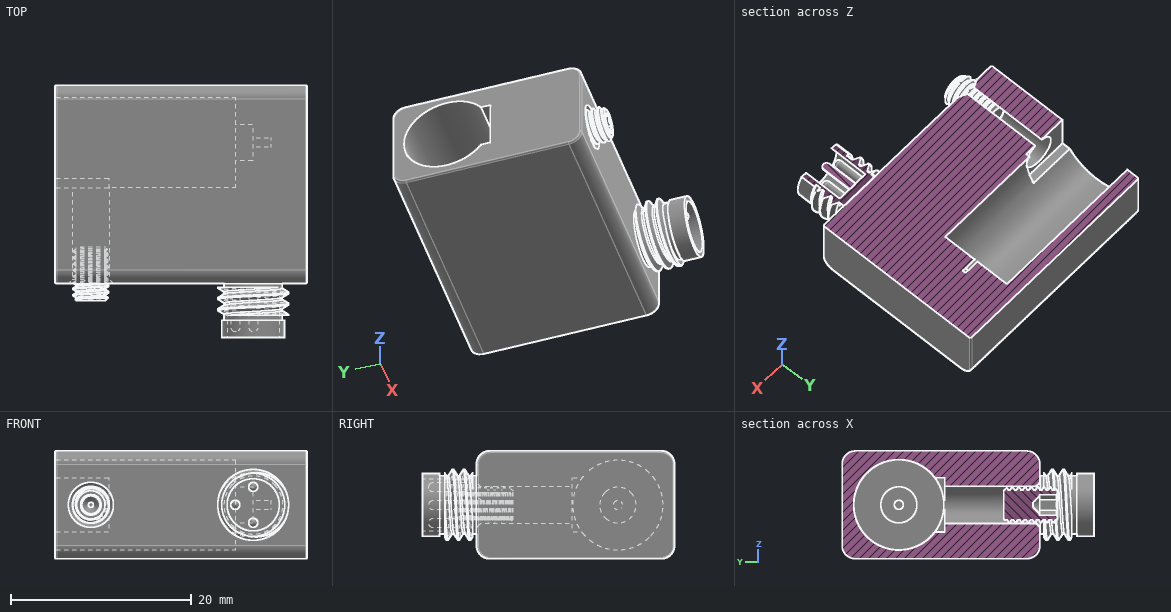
import cadquery as cq
import math


LENGTH = 28.0
DEPTH = 22.0
HEIGHT = 12.0
EDGE_RADIUS = 1.5
END_RADIUS = 0.2

BORE_DIAMETER = 10.0
BORE_DEPTH = 20.0
BORE_Y = DEPTH - 6.33
STEP_DIAMETER = 4.0
STEP_DEPTH = 2.0
PILOT_DIAMETER = 1.0
PILOT_DEPTH = 2.0
KEYWAY_HEIGHT = 6.0
KEYWAY_REACH = 5.07
KEYWAY_DEPTH = 6.0

SCREW_X = -LENGTH / 2 + 4.0
SCREW_DIAMETER = 4.0
SCREW_CORE_DIAMETER = 3.33
SCREW_END_DIAMETER = 3.15
SCREW_PITCH = 0.7
SCREW_PROJECTION = 1.93
SCREW_LENGTH = 6.0
SCREW_CREST_HEIGHT = 0.25
SCREW_HOLE_DIAMETER = 4.12
COUNTERSINK_DIAMETER = 5.0
SOCKET_ACROSS_FLATS = 2.0
SOCKET_DEPTH = 2.0
SOCKET_TIP_DIAMETER = 0.55

CONNECTOR_X = LENGTH / 2 - 6.0
CONNECTOR_PROJECTION = 6.0
CORE_DIAMETER = 6.5
NOSE_DIAMETER = 7.0
NOSE_LENGTH = 1.93
SHELL_BORE_DIAMETER = 5.8
SHELL_BORE_DEPTH = 5.0
THREAD_DIAMETER = 7.87
THREAD_START = 0.42
THREAD_LENGTH = 3.1
THREAD_TURNS = 2.5
THREAD_PITCH = THREAD_LENGTH / THREAD_TURNS

PIN_DIAMETER = 1.0
PIN_OFFSET = 2.0
PIN_RECESS = 0.67
PIN_ANGLES = (90, 180, 270)

RIDGE_BASE = 0.9
RIDGE_CREST = 0.12
RIDGE_OVERLAP = 0.08


def cylinder(diameter, start, end):
    """Round bar on the Z axis between two heights."""
    return cq.Workplane("XY").workplane(offset=start).circle(diameter / 2).extrude(end - start)


def cone(start_diameter, end_diameter, start, end):
    """Truncated cone on the Z axis between two heights."""
    base = cq.Vector(0, 0, start)
    return cq.Workplane(cq.Solid.makeCone(start_diameter / 2, end_diameter / 2, end - start, pnt=base))


def face_forward(body, x):
    """Turn a body built along +Z so that it points to -Y, at the given X."""
    return body.rotate((0, 0, 0), (1, 0, 0), 90).translate((x, 0, 0))


def thread_ridge(core_diameter, crest_diameter, pitch, start, end, crest_height):
    """Right-hand helical ridge reaching past start and end; one crest meets the +X side at crest_height."""
    root_radius = core_diameter / 2 - RIDGE_OVERLAP
    crest_radius = crest_diameter / 2
    base = RIDGE_BASE * pitch / 2
    crest = RIDGE_CREST * pitch / 2
    turns_below = math.ceil((crest_height - start) / pitch) + 1
    first = crest_height - turns_below * pitch
    path = cq.Wire.makeHelix(pitch, end - first + pitch, root_radius)
    return (
        cq.Workplane("XZ")
        .polyline([(root_radius, -base), (crest_radius, -crest), (crest_radius, crest), (root_radius, base)])
        .close()
        .sweep(cq.Workplane(path), isFrenet=True)
        .translate((0, 0, first))
    )


def make_housing():
    body = cq.Workplane("XY").box(LENGTH, DEPTH, HEIGHT).translate((0, DEPTH / 2, 0))
    body = body.edges("|X").fillet(EDGE_RADIUS)
    body = body.faces("<X or >X").edges().fillet(END_RADIUS)
    body = body.cut(sensor_bore())
    return body.cut(screw_hole())


def sensor_bore():
    end_face = cq.Workplane("YZ", origin=(-LENGTH / 2, BORE_Y, 0))
    step_end = BORE_DEPTH + STEP_DEPTH
    bore = end_face.circle(BORE_DIAMETER / 2).extrude(BORE_DEPTH)
    step = end_face.circle(STEP_DIAMETER / 2).extrude(step_end)
    pilot = end_face.circle(PILOT_DIAMETER / 2).extrude(step_end + PILOT_DEPTH)
    keyway = end_face.center(-KEYWAY_REACH / 2, 0).rect(KEYWAY_REACH, KEYWAY_HEIGHT).extrude(KEYWAY_DEPTH)
    return bore.union(step).union(pilot).union(keyway)


def screw_hole():
    """Clearance hole from the front face into the bore, with a 45 degree countersink."""
    hole = cylinder(SCREW_HOLE_DIAMETER, -BORE_Y, 0)
    sink_depth = (COUNTERSINK_DIAMETER - SCREW_HOLE_DIAMETER) / 2
    countersink = cone(SCREW_HOLE_DIAMETER, COUNTERSINK_DIAMETER, -sink_depth, 0)
    return face_forward(hole.union(countersink), SCREW_X)


def make_set_screw():
    tail = SCREW_PROJECTION - SCREW_LENGTH
    core = cylinder(SCREW_CORE_DIAMETER, tail, SCREW_PROJECTION)
    ridge = thread_ridge(
        SCREW_CORE_DIAMETER, SCREW_DIAMETER, SCREW_PITCH, tail, SCREW_PROJECTION, SCREW_CREST_HEIGHT
    )
    envelope = screw_envelope(tail)
    bevelled_core = core.intersect(envelope).cut(hex_socket())
    screw = bevelled_core.union(ridge.intersect(envelope))
    return face_forward(screw, SCREW_X)


def screw_envelope(tail):
    """Blank that bevels both ends of the screw at 45 degrees."""
    blank_diameter = SCREW_DIAMETER + 2 * RIDGE_OVERLAP
    bevel = (blank_diameter - SCREW_END_DIAMETER) / 2
    return cylinder(blank_diameter, tail, SCREW_PROJECTION).edges().chamfer(bevel)


def hex_socket():
    """Hexagonal socket, corners up and down, with a flared mouth and a blunt conical floor."""
    floor = SCREW_PROJECTION - SOCKET_DEPTH
    across_corners = SOCKET_ACROSS_FLATS / math.cos(math.radians(30))
    hexagon = (
        cq.Workplane("XY")
        .workplane(offset=floor)
        .polygon(6, across_corners)
        .extrude(SOCKET_DEPTH)
        .rotate((0, 0, 0), (0, 0, 1), 30)
    )
    mouth_depth = (across_corners - SOCKET_ACROSS_FLATS) / 2
    mouth = cone(SOCKET_ACROSS_FLATS, across_corners, SCREW_PROJECTION - mouth_depth, SCREW_PROJECTION)
    cone_depth = (SOCKET_ACROSS_FLATS - SOCKET_TIP_DIAMETER) / 2
    tip = cone(SOCKET_TIP_DIAMETER, SOCKET_ACROSS_FLATS, floor - cone_depth, floor)
    return hexagon.union(mouth).union(tip)


def make_connector_shell():
    thread_end = THREAD_START + THREAD_LENGTH
    crest_height = THREAD_START + THREAD_PITCH / 2
    core = cylinder(CORE_DIAMETER, 0, CONNECTOR_PROJECTION)
    nose = cylinder(NOSE_DIAMETER, CONNECTOR_PROJECTION - NOSE_LENGTH, CONNECTOR_PROJECTION)
    ridge = thread_ridge(
        CORE_DIAMETER, THREAD_DIAMETER, THREAD_PITCH, THREAD_START, thread_end, crest_height
    )
    bore = cylinder(
        SHELL_BORE_DIAMETER, CONNECTOR_PROJECTION - SHELL_BORE_DEPTH, CONNECTOR_PROJECTION
    )
    ridge = ridge.intersect(cylinder(2 * THREAD_DIAMETER, THREAD_START, thread_end))
    shell = core.union(nose).cut(bore).union(ridge)
    return face_forward(shell, CONNECTOR_X)


def make_pin(angle):
    """Round-ended pin standing on the floor of the shell bore."""
    foot = CONNECTOR_PROJECTION - SHELL_BORE_DEPTH
    tip = CONNECTOR_PROJECTION - PIN_RECESS
    dome_base = tip - PIN_DIAMETER / 2
    dome = cq.Workplane("XY").sphere(PIN_DIAMETER / 2).translate((0, 0, dome_base))
    pin = cylinder(PIN_DIAMETER, foot, dome_base).union(dome)
    x = PIN_OFFSET * math.cos(math.radians(angle))
    y = PIN_OFFSET * math.sin(math.radians(angle))
    return face_forward(pin.translate((x, y, 0)), CONNECTOR_X)


housing = make_housing()
set_screw = make_set_screw()
connector_shell = make_connector_shell()
pins = [make_pin(angle) for angle in PIN_ANGLES]

result = cq.Compound.makeCompound(
    [housing.val(), set_screw.val(), connector_shell.val(), *[pin.val() for pin in pins]]
)